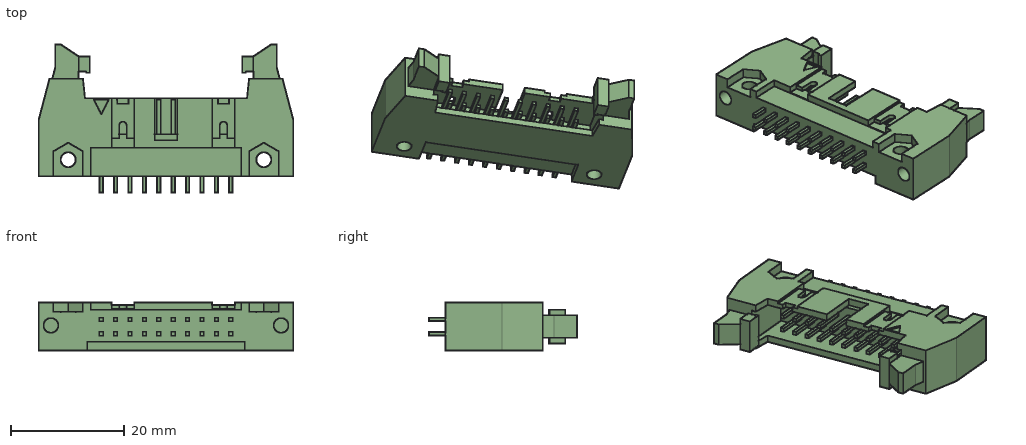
import cadquery as cq
import math


LENGTH = 45.0
HEIGHT = 8.5
MID_Z = HEIGHT / 2
SIDE_DEPTH = 10.0
FRONT_Y = 13.8
TOWER_Y = 17.25
TOWER_INNER_TOP = 14.65
TOWER_INNER_BASE = 14.3
TOWER_OUTER_TOP = 20.6

WALL = 1.25
CAVITY_FLOOR_Y = 7.4

STEP_DEPTH_Y = 5.0
TOP_STEP_LENGTH = 26.6
TOP_STEP_DROP = WALL
BOTTOM_STEP_LENGTH = 27.75
BOTTOM_STEP_RISE = 1.55

PITCH = 2.54
COLUMNS = 10
PIN_SIZE = 0.64
PIN_TAIL = 2.9
PIN_TIP_Y = 13.55

KEYWAY_WIDTH = 4.0
KEYWAY_END_Y = 6.4

CHANNEL_CENTERS = (-3 * PITCH, 4 * PITCH)
CHANNEL_WIDTH = 4.0
CHANNEL_DROP = 0.42
CHANNEL_DEEP_DROP = 1.12
CHANNEL_DEEP_END_Y = 6.7
SLOT_WIDTH = 1.3
SLOT_END_Y = 9.65
NOTCH_WIDTH = 2.0
NOTCH_DEPTH_Y = 0.97

HOLE_DIAMETER = 2.6
MOUNT_X = 17.28
MOUNT_Y = 2.92
NUT_FLATS = 5.2
NUT_POCKET_DEPTH = 1.67
END_HOLE_X = 20.33
END_HOLE_Z = 4.45
END_HOLE_DEPTH = 6.0

MARK_WIDTH = 2.6
MARK_HEIGHT = 2.55
MARK_BASE_Y = 13.5
MARK_DEPTH = 0.3

LATCH_THICKNESS = 4.0
LATCH_TIP_Y = 23.3
LATCH_TIP_INNER = 18.6
LATCH_OUTER = 19.6
LATCH_INNER = 15.45
LATCH_FLARE_Y = 19.15
LATCH_ROOT_OUTER = 20.1
LATCH_ROOT_Y = TOWER_Y - 1.0
HOOK_THICKNESS = 6.0
HOOK_TOP_Y = 21.2
HOOK_BOTTOM_Y = 18.5
HOOK_LIP_Y = 18.25
HOOK_LIP_WIDTH = 0.65
HOOK_INNER = 13.45


def box(x_range, y_range, z_range):
    """Axis-aligned block spanning the given coordinate ranges."""
    (x0, x1), (y0, y1), (z0, z1) = x_range, y_range, z_range
    block = cq.Workplane("XY").box(x1 - x0, y1 - y0, z1 - z0, centered=False)
    return block.translate((x0, y0, z0))


def span(center, width):
    """Coordinate range of the given width about a center."""
    return (center - width / 2, center + width / 2)


def centered_prism(points, thickness):
    """XY outline extruded equally to both sides of the housing mid-height."""
    plane = cq.Workplane("XY").workplane(offset=MID_Z - thickness / 2)
    return plane.polyline(points).close().extrude(thickness)


def both_ends(shape):
    """The right-hand shape together with its left-hand mirror image."""
    return shape.union(shape.mirror("YZ"))


def housing_block():
    right_half = [
        (LENGTH / 2, 0),
        (LENGTH / 2, SIDE_DEPTH),
        (TOWER_OUTER_TOP, TOWER_Y),
        (TOWER_INNER_TOP, TOWER_Y),
        (TOWER_INNER_BASE, FRONT_Y),
    ]
    left_half = [(-x, y) for x, y in reversed(right_half)]
    return centered_prism(right_half + left_half, HEIGHT)


def mating_cavity():
    return box(
        (-LATCH_INNER, LATCH_INNER),
        (CAVITY_FLOOR_Y, TOWER_Y),
        (WALL, HEIGHT - WALL),
    )


def board_face_steps():
    step_y = (0, STEP_DEPTH_Y)
    top = box(span(0, TOP_STEP_LENGTH), step_y, (HEIGHT - TOP_STEP_DROP, HEIGHT))
    bottom = box(span(0, BOTTOM_STEP_LENGTH), step_y, (0, BOTTOM_STEP_RISE))
    return top.union(bottom)


def keyway():
    return box(span(0, KEYWAY_WIDTH), (KEYWAY_END_Y, FRONT_Y), (HEIGHT - WALL, HEIGHT))


def strain_relief_channel(center_x):
    """Shallow channel with a deeper heel, a round-ended slot and a notch at the mating edge."""
    wall_z = (HEIGHT - WALL, HEIGHT)
    channel_x = span(center_x, CHANNEL_WIDTH)
    shallow = box(channel_x, (STEP_DEPTH_Y, FRONT_Y), (HEIGHT - CHANNEL_DROP, HEIGHT))
    heel_z = (HEIGHT - CHANNEL_DEEP_DROP, HEIGHT)
    heel = box(channel_x, (STEP_DEPTH_Y, CHANNEL_DEEP_END_Y), heel_z)

    arc_y = SLOT_END_Y - SLOT_WIDTH / 2
    slot_x = span(center_x, SLOT_WIDTH)
    slot_heel = box(slot_x, (CHANNEL_DEEP_END_Y, CAVITY_FLOOR_Y), heel_z)
    slot = box(slot_x, (CAVITY_FLOOR_Y, arc_y), wall_z)
    slot_end = cq.Workplane("XY").circle(SLOT_WIDTH / 2).extrude(WALL)
    slot_end = slot_end.translate((center_x, arc_y, HEIGHT - WALL))

    notch = box(span(center_x, NOTCH_WIDTH), (FRONT_Y - NOTCH_DEPTH_Y, FRONT_Y), wall_z)
    return shallow.union(heel).union(slot_heel).union(slot).union(slot_end).union(notch)


def mounting_cut():
    """Vertical screw hole with a nut pocket open to the board face, and a blind end hole."""
    screw = cq.Workplane("XY").circle(HOLE_DIAMETER / 2).extrude(HEIGHT)
    screw = screw.translate((MOUNT_X, MOUNT_Y, 0))

    half_flats = NUT_FLATS / 2
    apex = half_flats / math.cos(math.pi / 6)
    shoulder = apex / 2
    pocket_outline = [
        (-half_flats, -MOUNT_Y),
        (half_flats, -MOUNT_Y),
        (half_flats, shoulder),
        (0, apex),
        (-half_flats, shoulder),
    ]
    pocket = cq.Workplane("XY").polyline(pocket_outline).close().extrude(NUT_POCKET_DEPTH)
    pocket = pocket.translate((MOUNT_X, MOUNT_Y, HEIGHT - NUT_POCKET_DEPTH))

    end_hole = cq.Workplane("XZ").circle(HOLE_DIAMETER / 2).extrude(-END_HOLE_DEPTH)
    end_hole = end_hole.translate((END_HOLE_X, 0, END_HOLE_Z))
    return screw.union(pocket).union(end_hole)


def pin_one_mark():
    first_column_x = -(COLUMNS - 1) / 2 * PITCH
    triangle = [
        (first_column_x - MARK_WIDTH / 2, MARK_BASE_Y),
        (first_column_x + MARK_WIDTH / 2, MARK_BASE_Y),
        (first_column_x, MARK_BASE_Y - MARK_HEIGHT),
    ]
    plane = cq.Workplane("XY").workplane(offset=HEIGHT - MARK_DEPTH)
    return plane.polyline(triangle).close().extrude(MARK_DEPTH)


def latch():
    arm = centered_prism(
        [
            (LATCH_INNER, LATCH_ROOT_Y),
            (LATCH_INNER, HOOK_TOP_Y),
            (LATCH_TIP_INNER, LATCH_TIP_Y),
            (LATCH_OUTER, LATCH_TIP_Y),
            (LATCH_OUTER, LATCH_FLARE_Y),
            (LATCH_ROOT_OUTER, TOWER_Y),
            (LATCH_ROOT_OUTER, LATCH_ROOT_Y),
        ],
        LATCH_THICKNESS,
    )
    lip_x = HOOK_INNER + HOOK_LIP_WIDTH
    hook = centered_prism(
        [
            (LATCH_INNER, HOOK_TOP_Y),
            (HOOK_INNER, HOOK_TOP_Y),
            (HOOK_INNER, HOOK_LIP_Y),
            (lip_x, HOOK_LIP_Y),
            (lip_x, HOOK_BOTTOM_Y),
            (LATCH_INNER, HOOK_BOTTOM_Y),
        ],
        HOOK_THICKNESS,
    )
    return arm.union(hook)


def pins():
    plane = cq.Workplane("XZ").workplane(offset=PIN_TAIL).center(0, MID_Z)
    grid = plane.rarray(PITCH, PITCH, COLUMNS, 2)
    return grid.rect(PIN_SIZE, PIN_SIZE).extrude(-(PIN_TAIL + PIN_TIP_Y))


body = housing_block()
body = body.cut(mating_cavity())
body = body.cut(board_face_steps())
body = body.cut(keyway())
for channel_x in CHANNEL_CENTERS:
    body = body.cut(strain_relief_channel(channel_x))
body = body.cut(both_ends(mounting_cut()))
body = body.cut(pin_one_mark())

result = body.union(both_ends(latch())).union(pins())